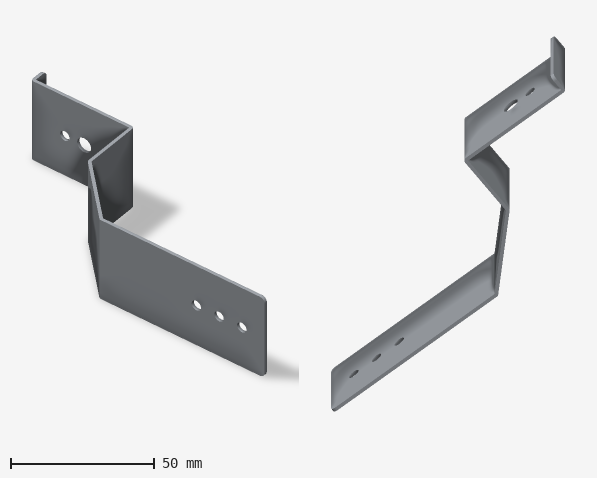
import cadquery as cq
import math

thickness = 1.3
width = 35.0
bend_radius = thickness
corner_radius = 2.0

lip_flat = 6.0
upper_flat = 42.0
riser_flat = 23.0
slope_flat = 32.0
lower_flat = 72.0
slope_angle = math.radians(45)

small_hole_diameter = 4.1
large_hole_diameter = 6.1
upper_small_hole_x = 15.0
upper_large_hole_x = 23.5
lower_hole_end_distance = 10.0
lower_hole_pitch = 10.0
lower_hole_count = 3

slope_setback = bend_radius * math.tan(slope_angle / 2)
slope_length = slope_flat + 2 * slope_setback
slope_run = slope_length * math.cos(slope_angle)
slope_rise = slope_length * math.sin(slope_angle)
riser_back_x = bend_radius + upper_flat + bend_radius
riser_front_x = riser_back_x - thickness
slope_end_x = riser_front_x + slope_run
length = slope_end_x + slope_setback + lower_flat
upper_back_y = slope_rise + slope_setback + riser_flat + bend_radius
upper_front_y = upper_back_y - thickness
depth = upper_front_y + bend_radius + lip_flat
inside_shift = thickness * math.tan(slope_angle / 2)
mid_z = width / 2


def bent_strip():
    """Extrude the mitred strip outline across the width and round the outside of each bend."""
    lip_corner = (0, upper_front_y)
    shoulder_corner = (riser_back_x, upper_back_y)
    knee_corner = (riser_front_x, slope_rise)
    foot_corner = (slope_end_x, 0)
    outline = [
        (0, depth),
        lip_corner,
        (riser_front_x, upper_front_y),
        knee_corner,
        foot_corner,
        (length, 0),
        (length, thickness),
        (slope_end_x + inside_shift, thickness),
        (riser_back_x, slope_rise + inside_shift),
        shoulder_corner,
        (thickness, upper_back_y),
        (thickness, depth),
    ]
    strip = cq.Workplane("XY").polyline(outline).close().extrude(width)
    for corner in (lip_corner, shoulder_corner, knee_corner, foot_corner):
        strip = round_bend(strip, corner)
    return strip


def round_bend(strip, corner):
    """Round the full-width edge that stands at the given XY corner."""
    at_corner = cq.selectors.NearestToPointSelector((*corner, mid_z))
    return strip.edges("|Z").edges(at_corner).fillet(bend_radius)


def round_end_corners(strip):
    """Round the two corners at each free end of the strip."""
    strip = strip.faces(">X").edges("|Y").fillet(corner_radius)
    return strip.faces(">Y").edges("|X").fillet(corner_radius)


def drill(strip, x, diameter):
    """Cut a hole along Y on the mid-width line, through the plate found at x."""
    cutter = (
        cq.Workplane("XZ", origin=(x, depth, mid_z))
        .circle(diameter / 2)
        .extrude(depth)
    )
    return strip.cut(cutter)


def drill_holes(strip):
    """Cut the two upper-plate holes and the row near the lower plate's free end."""
    strip = drill(strip, upper_small_hole_x, small_hole_diameter)
    strip = drill(strip, upper_large_hole_x, large_hole_diameter)
    for index in range(lower_hole_count):
        x = length - lower_hole_end_distance - index * lower_hole_pitch
        strip = drill(strip, x, small_hole_diameter)
    return strip


result = drill_holes(round_end_corners(bent_strip()))